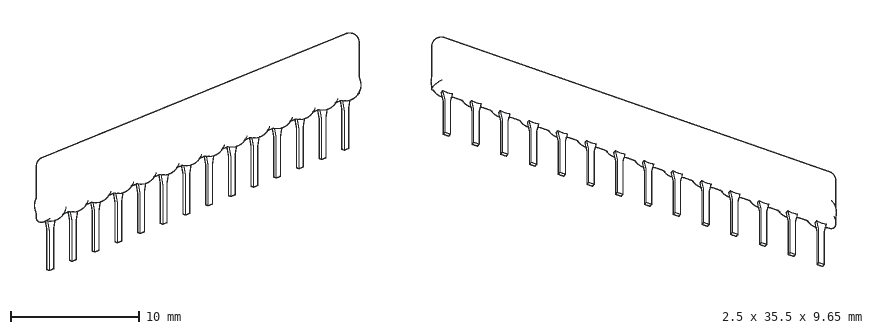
import cadquery as cq
total_length = 35.5
total_height = 9.65

body_thickness = 1.53
body_height = 5.25
bottom_round = 0.7

lead_count = 14
bead_diameter = 2.5
bead_height = 5.45
bead_blend = 0.65
end_bead_inset = 0.009

lead_thickness = 0.3
lead_width = 0.5
neck_width = 0.92
neck_length = 1.0

body_radius = body_thickness / 2
body_bottom = total_height - body_height
side_top = total_height - body_radius
straight_length = total_length - body_thickness
neck_bottom = body_bottom - neck_length
lead_span = total_length - bead_diameter - 2 * end_bead_inset
bead_pitch = lead_span / (lead_count - 1)
lead_positions = [index * bead_pitch - lead_span / 2 for index in range(lead_count)]


def make_body():
    """Slab with half-round ends, a fully rounded top and softened long bottom edges."""
    rounded_ends = (
        cq.Workplane("XY", origin=(0, 0, body_bottom))
        .slot2D(total_length, body_thickness, 90)
        .extrude(side_top - body_bottom)
    )
    rounded_bottom = (
        cq.Workplane("XY", origin=(0, 0, body_bottom))
        .rect(body_thickness, total_length)
        .extrude(side_top - body_bottom)
        .faces("<Z").edges("|Y")
        .fillet(bottom_round)
    )
    top_round = (
        cq.Workplane("XZ", origin=(0, straight_length / 2, side_top))
        .circle(body_radius)
        .extrude(straight_length)
    )
    body = rounded_ends.intersect(rounded_bottom).union(top_round)
    for end in (-straight_length / 2, straight_length / 2):
        corner = cq.Workplane("XY", origin=(0, end, side_top)).sphere(body_radius)
        body = body.union(corner)
    return body


def make_bead(body, y):
    """Pieces of one blended bead that stand out from the body."""
    ball = cq.Workplane("XY", origin=(0, y, bead_height)).sphere(bead_diameter / 2)
    joined_ball = body.union(ball)
    bead_zone = cq.selectors.BoxSelector(
        (-bead_diameter, y - bead_pitch / 2, body_bottom - bead_diameter),
        (bead_diameter, y + bead_pitch / 2, bead_height + bead_diameter / 2),
    )
    ball_surface = joined_ball.faces("%SPHERE").faces(bead_zone)
    return ball_surface.edges().fillet(bead_blend).cut(body).vals()


def make_lead(y):
    """Flat lead whose top end is buried in its bead."""
    outline = [
        (lead_width / 2, 0),
        (lead_width / 2, neck_bottom),
        (neck_width / 2, body_bottom),
        (neck_width / 2, bead_height),
    ]
    mirrored = [(-across, up) for across, up in reversed(outline)]
    return (
        cq.Workplane("YZ", origin=(-lead_thickness / 2, y, 0))
        .polyline(outline + mirrored)
        .close()
        .extrude(lead_thickness)
    )


plain_body = make_body()
end_bead = make_bead(plain_body, lead_positions[0])
inner_bead = make_bead(plain_body, lead_positions[1])

parts = end_bead + [piece.mirror("XZ") for piece in end_bead]
for index in range(lead_count - 2):
    shift = cq.Vector(0, index * bead_pitch, 0)
    parts += [piece.translate(shift) for piece in inner_bead]
parts += [make_lead(position).val() for position in lead_positions]

joined = plain_body.val().fuse(*parts)
result = cq.Workplane("XY").newObject(joined.Solids())